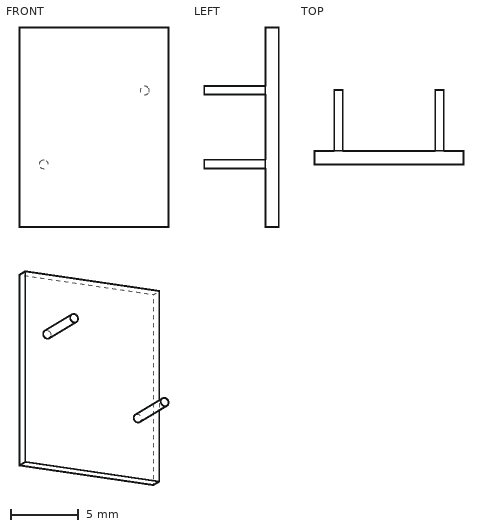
import cadquery as cq

plate_width = 11.0
plate_height = 14.7
plate_thickness = 1.0

total_depth = 5.5
pin_length = total_depth - plate_thickness
pin_diameter = 0.65
pin_offset_x = 3.72
pin_offset_z = 2.72


def make_plate():
    """Plate with its front face on Y = 0, centred in X and Z."""
    return cq.Workplane("XY").box(
        plate_width, plate_thickness, plate_height, centered=(True, False, True)
    )


def make_pin(side):
    """Pin from the back face; side -1 is lower left, +1 is upper right."""
    root = cq.Vector(side * pin_offset_x, plate_thickness, side * pin_offset_z)
    backward = cq.Vector(0, 1, 0)
    return cq.Solid.makeCylinder(pin_diameter / 2, pin_length, root, backward)


result = make_plate()
for side in (-1, 1):
    result = result.union(cq.Workplane(obj=make_pin(side)))